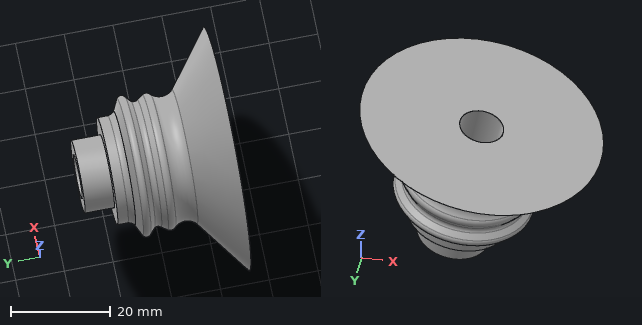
import cadquery as cq

total_height = 30.5
mouth_radius = 25.0
bore_radius = 4.5
stem_radius = 7.5
stem_length = 6.0
collar_radius = 11.0
shoulder_height = total_height - stem_length

waist_radius = 12.8
lower_ridge_radius = 14.05
upper_ridge_radius = 14.5

neck_start = (13.75, 8.65)
neck_middle = (waist_radius, 11.1)
neck_end = (13.65, 13.1)

lower_ridge_middle = (lower_ridge_radius, 14.05)
lower_ridge_end = (13.85, 14.7)

groove_start = (13.05, 15.9)
groove_middle = (waist_radius, 16.55)
groove_end = (13.05, 17.25)

upper_ridge_start = (14.2, 18.3)
upper_ridge_middle = (upper_ridge_radius, 19.0)
upper_ridge_end = (14.0, 19.85)

blend_start = (11.65, 21.0)
blend_middle = (11.2, 21.6)
blend_end = (collar_radius, 22.35)


def outer_body():
    """Revolve the complete outer outline into a solid about the Y axis."""
    outline = (
        cq.Workplane("XY")
        .lineTo(mouth_radius, 0)
        .lineTo(*neck_start)
        .threePointArc(neck_middle, neck_end)
        .threePointArc(lower_ridge_middle, lower_ridge_end)
        .lineTo(*groove_start)
        .threePointArc(groove_middle, groove_end)
        .lineTo(*upper_ridge_start)
        .threePointArc(upper_ridge_middle, upper_ridge_end)
        .lineTo(*blend_start)
        .threePointArc(blend_middle, blend_end)
        .lineTo(collar_radius, shoulder_height)
        .lineTo(stem_radius, shoulder_height)
        .lineTo(stem_radius, total_height)
        .lineTo(0, total_height)
        .close()
    )
    return outline.revolve(360, (0, 0, 0), (0, 1, 0))


def through_bore():
    """Make the straight cylinder that is cut along the whole axis."""
    return cq.Workplane("XZ").circle(bore_radius).extrude(-total_height)


result = outer_body().cut(through_bore())